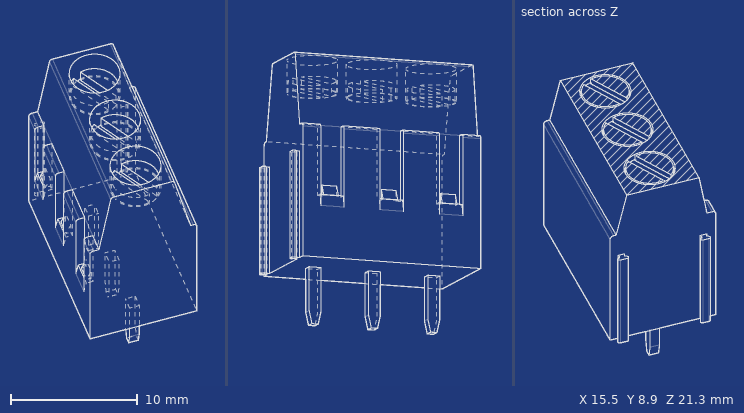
import cadquery as cq
import math


pole_count = 3
pitch = 4.98

overall_height = 21.3
housing_length = pole_count * pitch
housing_depth = 8.9
housing_height = 16.75
shoulder_height = 10.74
front_shoulder = 0.75
back_shoulder = 0.51
front_top_inset = 1.77
back_top_inset = 1.9
shoulder_fillet = 0.3
top_fillet = 0.25

bore_diameter = 4.0
screw_diameter = 3.8
screw_from_front = 4.65
screw_recess = 1.66
driver_slot_width = 0.85
driver_slot_depth = 1.0
driver_slot_angle = 30.0

window_width = 1.95
window_bottom = 4.15
window_sill_rise = 0.94
window_sill_run = 0.21
wedge_width = 1.24
wedge_height = 0.85
wedge_reach = 0.4

pin_width = 1.0
pin_thickness = 0.8
pin_from_front = 4.39
pin_tip_width = 0.53
pin_tip_length = 1.02

rib_reach = 0.6
rib_height = 8.58
rib_neck_width = 0.43
rib_corner_radius = 0.17
rib_neck_length = 0.21
rib_root_flare = 0.06
front_rib_width = 0.83
front_rib_from_front = 1.05
back_rib_width = 0.92
back_rib_from_back = 0.94

end_x = -housing_length / 2
front_y = -housing_depth / 2
back_y = housing_depth / 2
window_wall_y = front_y + front_shoulder
pin_length = overall_height - housing_height
pole_positions = [(i - (pole_count - 1) / 2) * pitch for i in range(pole_count)]


def extrude_along_x(points, center_x, width):
    """Extrude a (Y, Z) outline symmetrically about center_x."""
    return cq.Workplane("YZ", origin=(center_x - width / 2, 0, 0)).polyline(points).close().extrude(width)


def make_housing():
    """Block with shoulders and a tapered upper part, rounded along its long edges."""
    outline = [
        (front_y, 0),
        (back_y, 0),
        (back_y, shoulder_height),
        (back_y - back_shoulder, shoulder_height),
        (back_y - back_top_inset, housing_height),
        (front_y + front_top_inset, housing_height),
        (front_y + front_shoulder, shoulder_height),
        (front_y, shoulder_height),
    ]
    housing = extrude_along_x(outline, 0, housing_length)
    housing = housing.faces(">Z").edges("|X").fillet(top_fillet)
    for outer_y in (front_y, back_y):
        edge_middle = (0, outer_y, shoulder_height)
        shoulder_edge = cq.selectors.NearestToPointSelector(edge_middle)
        housing = housing.edges("|X").edges(shoulder_edge).fillet(shoulder_fillet)
    return housing


def make_window(center_x):
    """Cutter for a wire window, open at the shoulder, with a sloping sill."""
    sill_top = window_bottom + window_sill_rise
    outline = [
        (front_y, window_bottom),
        (front_y + window_sill_run, sill_top),
        (window_wall_y, sill_top),
        (window_wall_y, shoulder_height),
        (front_y, shoulder_height),
    ]
    return extrude_along_x(outline, center_x, window_width)


def make_wedge(center_x):
    """Small wedge standing on the sill against the window wall."""
    sill_top = window_bottom + window_sill_rise
    outline = [
        (window_wall_y, sill_top),
        (window_wall_y - wedge_reach, sill_top),
        (window_wall_y, sill_top + wedge_height),
    ]
    return extrude_along_x(outline, center_x, wedge_width)


def make_bore(center_x):
    """Cutter for a screw bore that leaves a slotted screw head standing inside."""
    screw_y = front_y + screw_from_front
    screw_top = housing_height - screw_recess
    bore_bottom = screw_top - driver_slot_depth
    bore = (
        cq.Workplane("XY", origin=(center_x, screw_y, bore_bottom))
        .circle(bore_diameter / 2)
        .extrude(housing_height - bore_bottom)
    )
    head = (
        cq.Workplane("XY", origin=(center_x, screw_y, bore_bottom))
        .circle(screw_diameter / 2)
        .extrude(driver_slot_depth)
    )
    driver_slot = (
        cq.Workplane("XY", origin=(center_x, screw_y, bore_bottom))
        .transformed(rotate=(0, 0, driver_slot_angle))
        .rect(bore_diameter, driver_slot_width)
        .extrude(driver_slot_depth)
    )
    return bore.cut(head.cut(driver_slot))


def make_pin(center_x):
    """Flat solder pin narrowing to its tip."""
    pin_y = front_y + pin_from_front
    half_width = pin_width / 2
    half_tip = pin_tip_width / 2
    taper_start = pin_tip_length - pin_length
    outline = [
        (-half_width, 0),
        (-half_width, taper_start),
        (-half_tip, -pin_length),
        (half_tip, -pin_length),
        (half_width, taper_start),
        (half_width, 0),
    ]
    return (
        cq.Workplane("XZ", origin=(center_x, pin_y + pin_thickness / 2, 0))
        .polyline(outline)
        .close()
        .extrude(pin_thickness)
    )


def make_rib(center_y, head_width):
    """Dovetail-like rib: rounded head, narrow neck, flared root."""
    half_head = head_width / 2
    half_neck = rib_neck_width / 2
    half_end = half_head - rib_corner_radius
    half_root = half_neck + rib_root_flare
    head_x = rib_corner_radius - rib_reach
    corner_offset = rib_corner_radius * math.sqrt(0.5)
    corner_mid = (head_x - corner_offset, half_end + corner_offset)
    flare_mid = (-rib_neck_length / 2, half_neck + rib_root_flare / 4)
    return (
        cq.Workplane("XY", origin=(end_x, center_y, 0))
        .moveTo(0, -half_root)
        .lineTo(0, half_root)
        .threePointArc(flare_mid, (-rib_neck_length, half_neck))
        .lineTo(head_x, half_head)
        .threePointArc(corner_mid, (-rib_reach, half_end))
        .lineTo(-rib_reach, -half_end)
        .threePointArc((corner_mid[0], -corner_mid[1]), (head_x, -half_head))
        .lineTo(-rib_neck_length, -half_neck)
        .threePointArc((flare_mid[0], -flare_mid[1]), (0, -half_root))
        .close()
        .extrude(rib_height)
    )


result = make_housing()
for pole_x in pole_positions:
    result = result.cut(make_window(pole_x))
    result = result.union(make_wedge(pole_x))
    result = result.cut(make_bore(pole_x))
    result = result.union(make_pin(pole_x))

result = result.union(make_rib(front_y + front_rib_from_front, front_rib_width))
result = result.union(make_rib(back_y - back_rib_from_back, back_rib_width))